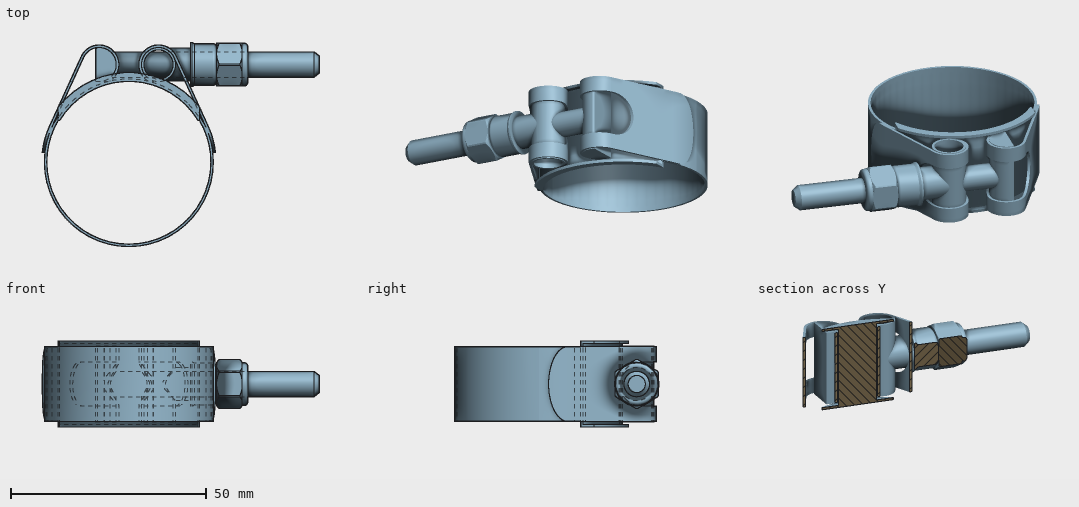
import cadquery as cq
import math

strip_thickness = 0.67
band_width = 19.1
ring_outer_radius = 21.6

bridge_width = 22.0
bridge_inner_radius = 20.6
bridge_flange_radius = 22.9
bridge_flange_thickness = 0.7
bridge_half_span = 18.05
bridge_bottom_y = 10.6

trunnion_x = 7.6
bolt_axis_y = 24.95
trunnion_radius = 4.36
trunnion_length = 19.5
anchor_flat_offset = 0.9
anchor_chamfer_depth = 0.2
anchor_chamfer_height = 0.5
barrel_bore_radius = 3.72

tail_tip_y = 2.4
tail_round_height = 4.95
slot_half_width = 5.7
slot_bottom_y = 20.6

bolt_radius = 3.25
bolt_end_x = 48.7
bolt_chamfer_length = 1.35
bolt_chamfer_depth = 1.05

sleeve_radius = 4.25

collar_start_x = 15.7
collar_end_x = 22.45
collar_radius = 5.35
collar_rim_radius = 5.7
collar_rim_thickness = 0.4
collar_rim_blend = 0.6
collar_end_fillet = 0.9

nut_hex_length = 6.5
nut_half_flats = 5.5
nut_corner_radius = 6.27
nut_chamfer_length = 0.6
nut_chamfer_depth = 0.7
nut_crown_length = 1.4
nut_crown_radius = 5.45
nut_crown_fillet = 0.85

ring_inner_radius = ring_outer_radius - strip_thickness
tail_outer_radius = ring_outer_radius + strip_thickness
plate_outer_radius = bridge_inner_radius + strip_thickness
loop_outer_radius = trunnion_radius + strip_thickness
nut_start_x = collar_end_x
nut_crown_start_x = nut_start_x + nut_hex_length
nut_end_x = nut_crown_start_x + nut_crown_length

trunnion_center = (trunnion_x, bolt_axis_y)
trunnion_distance = math.hypot(trunnion_x, bolt_axis_y)
trunnion_angle = math.degrees(math.atan2(bolt_axis_y, trunnion_x))
leg_angle = trunnion_angle - math.degrees(
    math.acos((tail_outer_radius - loop_outer_radius) / trunnion_distance)
)
loop_contact_angle = math.degrees(
    math.acos(
        (plate_outer_radius ** 2 + trunnion_distance ** 2 - loop_outer_radius ** 2)
        / (2 * plate_outer_radius * trunnion_distance)
    )
)


def bridge_end_point(radius):
    """Point at a radius in the plane of the bridge end."""
    return (bridge_half_span, math.sqrt(radius ** 2 - bridge_half_span ** 2))


def angle_of(point, center=(0, 0)):
    """Angle of a point around a centre, in degrees."""
    return math.degrees(math.atan2(point[1] - center[1], point[0] - center[0]))


def polar(radius, angle, center=(0, 0)):
    """Point at a radius and an angle in degrees around a centre."""
    turn = math.radians(angle)
    return (center[0] + radius * math.cos(turn), center[1] + radius * math.sin(turn))


def upright(profile, width):
    """Extrude an XY profile along Z, symmetric about Z = 0."""
    return profile.extrude(width).translate((0, 0, -width / 2))


def arc_to(wire, radius, start, end, center=(0, 0)):
    """Continue a wire along an arc from one angle to another."""
    return wire.threePointArc(polar(radius, (start + end) / 2, center), polar(radius, end, center))


def cylinder_x(radius, start, end):
    """Cylinder on the bolt axis between two X positions."""
    return (
        cq.Workplane("YZ", origin=(start, bolt_axis_y, 0))
        .circle(radius)
        .extrude(end - start)
    )


def revolved_x(points):
    """Solid of revolution about the bolt axis from (x, radius) points."""
    return (
        cq.Workplane("XY", origin=(0, bolt_axis_y, 0))
        .polyline(points)
        .close()
        .revolve(360, (0, 0), (1, 0))
    )


def trunnion_cylinder(x, radius, length):
    """Upright cylinder on a trunnion axis."""
    return upright(cq.Workplane("XY").center(x, bolt_axis_y).circle(radius), length)


def make_bridge_plate():
    """Thin curved plate that closes the gap in the ring."""
    plate = upright(cq.Workplane("XY").circle(plate_outer_radius).circle(bridge_inner_radius), bridge_width)
    return plate.intersect(bridge_limits())


def bridge_limits():
    """Block that trims the bridge at both ends and at the bottom."""
    height = bridge_flange_radius - bridge_bottom_y
    return (
        cq.Workplane("XY")
        .center(0, bridge_bottom_y + height / 2)
        .box(2 * bridge_half_span, height, bridge_width)
    )


def make_bridge():
    """Curved channel: the plate with an outward flange along each edge."""
    flanges = upright(
        cq.Workplane("XY").circle(bridge_flange_radius).circle(bridge_inner_radius), bridge_width
    )
    channel = upright(
        cq.Workplane("XY").circle(bridge_flange_radius), bridge_width - 2 * bridge_flange_thickness
    )
    return flanges.cut(channel).intersect(bridge_limits()).union(make_bridge_plate())


def make_band_end():
    """Upper +X quarter of the ring, with its tail, leg and loop that ends under the trunnion."""
    contact = polar(plate_outer_radius, trunnion_angle + loop_contact_angle)
    contact_angle = angle_of(contact, trunnion_center) % 360
    loop_end_angle = trunnion_angle + 180
    outer_end = bridge_end_point(ring_outer_radius)
    inner_end = bridge_end_point(ring_inner_radius)
    wire = cq.Workplane("XY").moveTo(ring_inner_radius, 0)
    wire = wire.lineTo(tail_outer_radius, 0)
    wire = arc_to(wire, tail_outer_radius, 0, leg_angle)
    wire = wire.lineTo(*polar(loop_outer_radius, leg_angle, trunnion_center))
    wire = arc_to(wire, loop_outer_radius, leg_angle, contact_angle, trunnion_center)
    wire = arc_to(wire, plate_outer_radius, trunnion_angle + loop_contact_angle, trunnion_angle)
    wire = wire.lineTo(*polar(trunnion_radius, loop_end_angle, trunnion_center))
    wire = arc_to(wire, trunnion_radius, loop_end_angle, leg_angle, trunnion_center)
    wire = wire.lineTo(*polar(ring_outer_radius, leg_angle))
    wire = arc_to(wire, ring_outer_radius, leg_angle, angle_of(outer_end))
    wire = wire.lineTo(*inner_end)
    wire = arc_to(wire, ring_inner_radius, angle_of(inner_end), 0)
    return upright(wire.close(), band_width).cut(make_bolt_slot()).cut(make_tail_trim())


def make_tail_trim():
    """Material to remove from the tail to give it a half-elliptical tip."""
    round_center_y = tail_tip_y + tail_round_height
    reach = tail_outer_radius + strip_thickness
    block = (
        cq.Workplane("XY")
        .box(reach, round_center_y, band_width, centered=(False, False, True))
    )
    tip = (
        cq.Workplane("YZ")
        .center(round_center_y, 0)
        .ellipse(tail_round_height, band_width / 2)
        .extrude(reach)
    )
    ring = upright(cq.Workplane("XY").circle(ring_outer_radius), band_width)
    return block.cut(tip).cut(ring)


def make_bolt_slot():
    """Slot through the loop and leg, open at the top and round at the bottom."""
    round_center_y = slot_bottom_y + slot_half_width
    slot_top_y = round_center_y + 2 * loop_outer_radius
    return (
        cq.Workplane("YZ")
        .moveTo(slot_top_y, slot_half_width)
        .lineTo(round_center_y, slot_half_width)
        .threePointArc((slot_bottom_y, 0), (round_center_y, -slot_half_width))
        .lineTo(slot_top_y, -slot_half_width)
        .close()
        .extrude(bridge_flange_radius)
    )


def make_band():
    """Lower half of the ring with the same looped end on both sides."""
    lower_half = upright(
        cq.Workplane("XY")
        .moveTo(ring_outer_radius, 0)
        .threePointArc((0, -ring_outer_radius), (-ring_outer_radius, 0))
        .lineTo(-ring_inner_radius, 0)
        .threePointArc((0, -ring_inner_radius), (ring_inner_radius, 0))
        .close(),
        band_width,
    )
    band_end = make_band_end()
    return lower_half.union(band_end, clean=False).union(band_end.mirror("YZ"), clean=False)


def make_anchor_bolt():
    """T-bolt: D-shaped trunnion in the left loop with the bolt shank on it."""
    head = trunnion_cylinder(-trunnion_x, trunnion_radius, trunnion_length)
    head_box = (
        cq.Workplane("XY")
        .box(2 * trunnion_radius, 2 * trunnion_radius, trunnion_length, centered=(False, True, True))
        .translate((-trunnion_x - anchor_flat_offset, bolt_axis_y, 0))
    )
    head = head.intersect(head_box)
    head = head.faces("<X").edges(">Y").chamfer(anchor_chamfer_height, anchor_chamfer_depth)
    shank = revolved_x([
        (-trunnion_x, 0),
        (-trunnion_x, bolt_radius),
        (bolt_end_x - bolt_chamfer_length, bolt_radius),
        (bolt_end_x, bolt_radius - bolt_chamfer_depth),
        (bolt_end_x, 0),
    ])
    return head.union(shank)


def make_barrel():
    """Tubular trunnion in the right loop with the guide sleeve on it."""
    outside = trunnion_cylinder(trunnion_x, trunnion_radius, trunnion_length)
    bore = trunnion_cylinder(trunnion_x, barrel_bore_radius, trunnion_length)
    sleeve = cylinder_x(sleeve_radius, trunnion_x, collar_start_x)
    bolt_hole = cylinder_x(bolt_radius, 0, collar_start_x)
    return outside.union(sleeve).cut(bore).cut(bolt_hole)


def make_collar():
    """Thrust collar between sleeve and nut, with a tapered rim."""
    rim_end_x = collar_start_x + collar_rim_thickness
    collar = revolved_x([
        (collar_start_x, bolt_radius),
        (collar_start_x, collar_rim_radius),
        (rim_end_x, collar_rim_radius),
        (rim_end_x + collar_rim_blend, collar_radius),
        (collar_end_x, collar_radius),
        (collar_end_x, bolt_radius),
    ])
    outer_edge = cq.selectors.RadiusNthSelector(-1)
    return collar.faces(">X").edges(outer_edge).fillet(collar_end_fillet)


def make_nut():
    """Hex nut with chamfered corners and a rounded crown."""
    hexagon = (
        cq.Workplane("YZ", origin=(nut_start_x, bolt_axis_y, 0))
        .polygon(6, 2 * nut_half_flats, circumscribed=True)
        .extrude(nut_hex_length)
    )
    end_radius = nut_corner_radius - nut_chamfer_depth
    corner_limits = revolved_x([
        (nut_start_x, 0),
        (nut_start_x, end_radius),
        (nut_start_x + nut_chamfer_length, nut_corner_radius),
        (nut_crown_start_x - nut_chamfer_length, nut_corner_radius),
        (nut_crown_start_x, end_radius),
        (nut_crown_start_x, 0),
    ])
    crown = cylinder_x(nut_crown_radius, nut_crown_start_x, nut_end_x)
    crown = crown.faces(">X").edges().fillet(nut_crown_fillet)
    bore = cylinder_x(bolt_radius, nut_start_x, nut_end_x)
    return hexagon.intersect(corner_limits).union(crown).cut(bore)


band = make_band()
bridge = make_bridge()
anchor_bolt = make_anchor_bolt()
barrel = make_barrel()
collar = make_collar()
nut = make_nut()

result = cq.Compound.makeCompound([
    band.val(),
    bridge.val(),
    anchor_bolt.val(),
    barrel.val(),
    collar.val(),
    nut.val(),
])